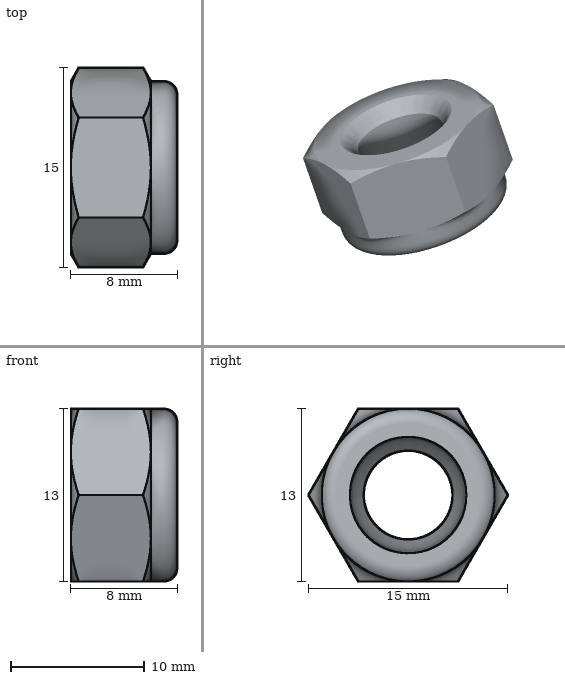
import cadquery as cq
import math

across_corners = 15.01
total_length = 8.0
hex_length = 6.0
collar_edge_radius = 1.05
bore_diameter = 6.65
bore_end = 5.33
countersink_diameter = 8.75
countersink_angle = 45.0
corner_chamfer_angle = 30.0

corner_radius = across_corners / 2
flat_radius = corner_radius * math.cos(math.pi / 6)
bore_radius = bore_diameter / 2
countersink_radius = countersink_diameter / 2
countersink_depth = (countersink_radius - bore_radius) / math.tan(math.radians(countersink_angle))
chamfer_length = (corner_radius - flat_radius) * math.tan(math.radians(corner_chamfer_angle))


def revolve_about_x(profile):
    """Revolve a closed (x, radius) profile fully around the nut axis."""
    return profile.close().revolve(360, (0, 0, 0), (1, 0, 0))


def make_hex_body():
    """Hexagonal prism, corners along Y, with both ends chamfered by cones."""
    prism = cq.Workplane("YZ").polygon(6, across_corners).extrude(hex_length)
    chamfer_envelope = revolve_about_x(
        cq.Workplane("XY")
        .lineTo(0, flat_radius)
        .lineTo(chamfer_length, corner_radius)
        .lineTo(hex_length - chamfer_length, corner_radius)
        .lineTo(hex_length, flat_radius)
        .lineTo(hex_length, 0)
    )
    return prism.intersect(chamfer_envelope)


def make_collar():
    """Round collar as wide as the flats, with a rounded outer end edge."""
    collar = cq.Workplane("YZ").workplane(offset=hex_length).circle(flat_radius)
    return collar.extrude(total_length - hex_length).faces(">X").edges().fillet(collar_edge_radius)


def make_bore():
    """Through bore, countersunk at both ends, opening into a recess inside the collar."""
    return revolve_about_x(
        cq.Workplane("XY")
        .lineTo(0, countersink_radius)
        .lineTo(countersink_depth, bore_radius)
        .lineTo(bore_end, bore_radius)
        .lineTo(bore_end + countersink_depth, countersink_radius)
        .lineTo(total_length, countersink_radius)
        .lineTo(total_length, 0)
    )


result = make_hex_body().union(make_collar()).cut(make_bore())